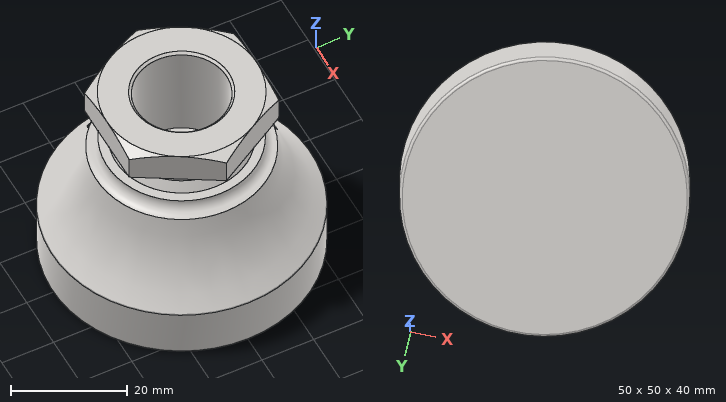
import cadquery as cq
import math

base_radius = 25.0
base_height = 10.0
base_edge_round = 0.5
rim_bevel = 0.1
shoulder_radius = 16.5
shoulder_height = 25.5
flare_arc_radius = 34.0

cove_radius = 2.5
collar_radius = 14.4
collar_height = 28.0
cone_radius = 12.65
neck_radius = 23.0 / 2
neck_start = 29.9

head_bottom = 34.0
total_height = 40.0
across_flats = 29.0
head_chamfer_angle = 30.0

hole_radius = 17.3 / 2
hole_mouth_radius = 18.25 / 2
hole_depth = 20.0
drill_point_angle = 118.0


def make_body():
    """Revolve the foot, collar and neck about the vertical axis."""
    return (
        cq.Workplane("XZ")
        .lineTo(base_radius - base_edge_round, 0)
        .radiusArc((base_radius, base_edge_round), -base_edge_round)
        .lineTo(base_radius, base_height)
        .lineTo(base_radius - rim_bevel, base_height + rim_bevel)
        .radiusArc((shoulder_radius, shoulder_height), flare_arc_radius)
        .radiusArc((collar_radius, collar_height), cove_radius)
        .lineTo(cone_radius, collar_height)
        .lineTo(neck_radius, neck_start)
        .lineTo(neck_radius, head_bottom)
        .lineTo(0, head_bottom)
        .close()
        .revolve(360, (0, 0), (0, 1))
    )


def make_head():
    """Hexagon with corners on the X axis and a conical top chamfer."""
    flat_radius = across_flats / 2
    corner_radius = flat_radius / math.cos(math.radians(30))
    head_height = total_height - head_bottom
    hexagon = (
        cq.Workplane("XY", origin=(0, 0, head_bottom))
        .polygon(6, 2 * corner_radius)
        .extrude(head_height)
    )
    cone_bottom_radius = flat_radius + head_height / math.tan(math.radians(head_chamfer_angle))
    chamfer_cone = (
        cq.Workplane("XZ")
        .moveTo(0, head_bottom)
        .lineTo(cone_bottom_radius, head_bottom)
        .lineTo(flat_radius, total_height)
        .lineTo(0, total_height)
        .close()
        .revolve(360, (0, 0), (0, 1))
    )
    return hexagon.intersect(chamfer_cone)


def make_hole():
    """Drilled hole with a 45 degree mouth chamfer and a conical bottom."""
    mouth_chamfer = hole_mouth_radius - hole_radius
    wall_bottom = total_height - hole_depth
    point_depth = hole_radius / math.tan(math.radians(drill_point_angle / 2))
    return (
        cq.Workplane("XZ")
        .moveTo(0, total_height)
        .lineTo(hole_mouth_radius, total_height)
        .lineTo(hole_radius, total_height - mouth_chamfer)
        .lineTo(hole_radius, wall_bottom)
        .lineTo(0, wall_bottom - point_depth)
        .close()
        .revolve(360, (0, 0), (0, 1))
    )


result = make_body().union(make_head()).cut(make_hole())